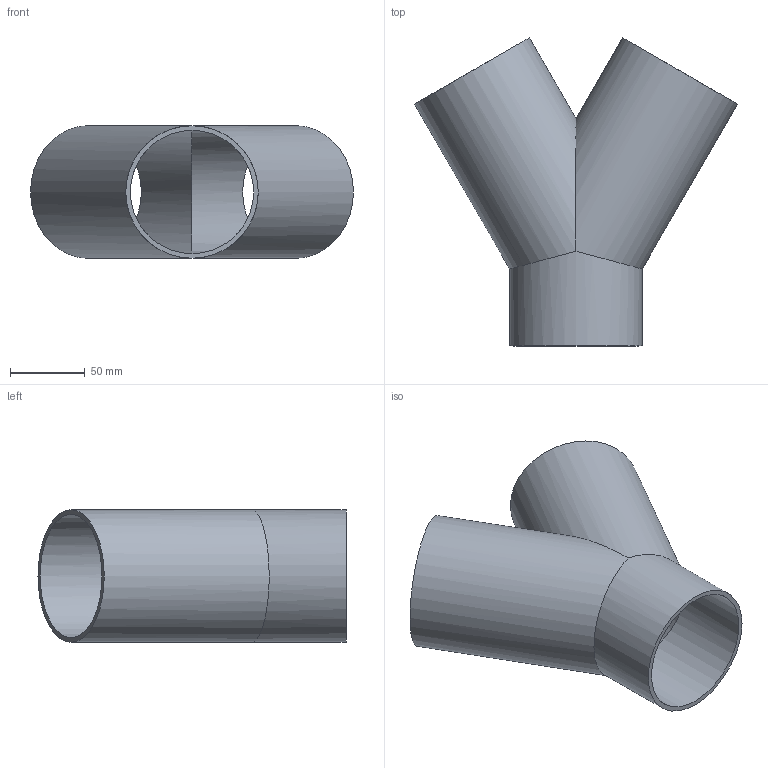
import cadquery as cq
import math

OUTER_DIAMETER = 88.9
INNER_DIAMETER = 82.8
STEM_LENGTH = 63.5
BRANCH_LENGTH = 139.7
BRANCH_ANGLE = 30.0

MITRE_ANGLE = math.radians(BRANCH_ANGLE / 2)
REACH = 2 * (STEM_LENGTH + BRANCH_LENGTH)

STEM_DIRECTION = cq.Vector(0, -1, 0)
BRANCH_DIRECTION = cq.Vector(
    math.sin(math.radians(BRANCH_ANGLE)),
    math.cos(math.radians(BRANCH_ANGLE)),
    0,
)


def rod(diameter, length, direction):
    """Round bar ending at the given length, started behind the origin to leave stock for the mitre."""
    start = direction * -diameter
    return cq.Workplane(cq.Solid.makeCylinder(diameter / 2, length + diameter, start, direction))


def region(points):
    """Tall prism over an outline in the XY plane, used to trim a rod."""
    return cq.Workplane("XY").polyline(points).close().extrude(REACH, both=True)


def y_body(diameter):
    """Solid Y shape: mitred stem and branch on the +X side, mirrored to the -X side."""
    joint_end = (REACH, -REACH * math.tan(MITRE_ANGLE))
    below_joint = region([(0, 0), (0, -REACH), (REACH, -REACH), joint_end])
    above_joint = region([(0, 0), joint_end, (REACH, REACH), (0, REACH)])

    half_stem = rod(diameter, STEM_LENGTH, STEM_DIRECTION).intersect(below_joint)
    branch = rod(diameter, BRANCH_LENGTH, BRANCH_DIRECTION).intersect(above_joint)
    half = half_stem.union(branch)
    return half.union(half.mirror("YZ")).clean()


result = y_body(OUTER_DIAMETER).cut(y_body(INNER_DIAMETER))